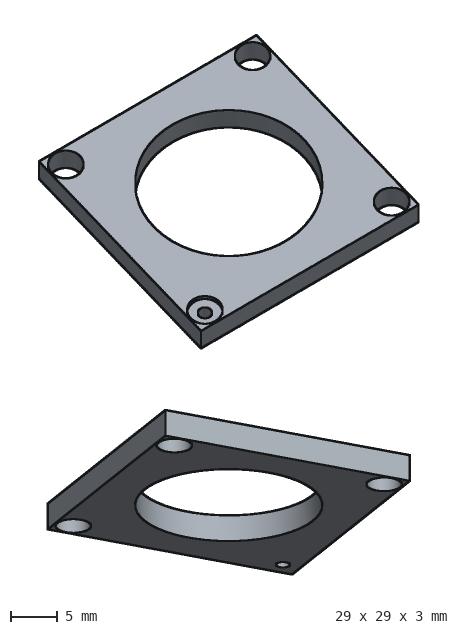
import cadquery as cq

side = 29.0
thickness = 3.0

bore_diameter = 20.0
corner_diameter = 3.8
corner_offset = 12.45
screw_diameter = 1.5
counterbore_depth = 0.5

plain_corners = [
    (-corner_offset, -corner_offset),
    (-corner_offset, corner_offset),
    (corner_offset, corner_offset),
]
screw_corner = (corner_offset, -corner_offset)

plate = cq.Workplane("XY").rect(side, side).extrude(thickness)
plate = plate.faces(">Z").workplane().hole(bore_diameter)

plate = plate.faces(">Z").workplane(origin=(0, 0, thickness)).pushPoints(plain_corners).hole(corner_diameter)

result = (
    plate.faces(">Z")
    .workplane(origin=(0, 0, thickness))
    .pushPoints([screw_corner])
    .cboreHole(screw_diameter, corner_diameter, counterbore_depth)
)